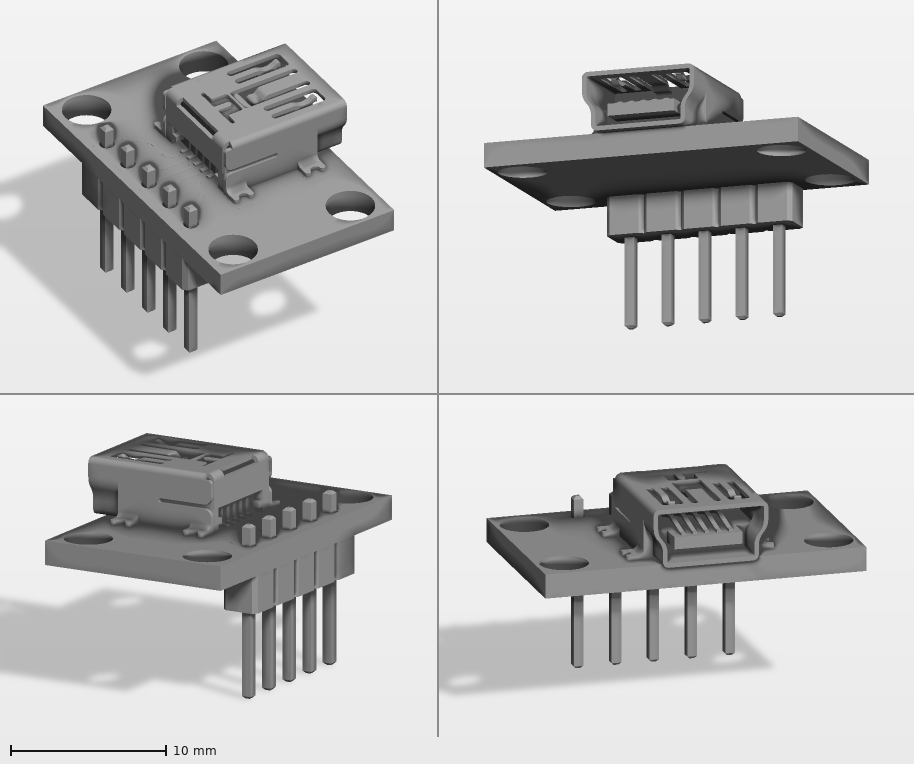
import cadquery as cq
import math


BOARD_LENGTH = 21.6
BOARD_DEPTH = 13.2
BOARD_THICKNESS = 1.62
MOUNT_HOLE_DIAMETER = 3.2
MOUNT_HOLE_SPACING_X = 17.8
MOUNT_HOLE_SPACING_Y = 8.92

PIN_COUNT = 5
PIN_PITCH = 2.55
PIN_WIDTH = 0.65
PIN_TOP_Z = 1.4
PIN_BOTTOM_Z = -10.17
PIN_CHAMFER = 0.17
HEADER_CHAMFER = 0.28
HEADER_CELL = PIN_PITCH
PIN_ROW_Y = 1.3
PIN_X = [(i - (PIN_COUNT - 1) / 2) * PIN_PITCH for i in range(PIN_COUNT)]

SOCKET_X = -0.1
SHELL_WIDTH = 7.7
SHELL_HEIGHT = 3.93
SHELL_THICKNESS = 0.3
SHELL_FRONT_Y = 4.81
SHELL_BACK_Y = 14.01
MOUTH_Y = 11.77
EDGE_RADIUS = 0.8 / 2
HALF_SHELL = SHELL_WIDTH / 2
HALF_INSIDE = HALF_SHELL - SHELL_THICKNESS
ROOF_UNDERSIDE_Z = SHELL_HEIGHT - SHELL_THICKNESS

MOUTH_NARROWING = 0.63
MOUTH_CURVE_TOP_Z = 2.65
MOUTH_CURVE_BOTTOM_Z = 1.04

FLAP_RADIUS = 0.5
FLAP_BOTTOM_Z = 1.55
FLAP_WINDOW_WIDTH = 4.32
HALF_FLAP = HALF_SHELL - EDGE_RADIUS
ROOF_FRONT_Y = SHELL_FRONT_Y + FLAP_RADIUS
WALL_CORNER_RADIUS = 0.24

SLIT_Z = 1.77
SLIT_HEIGHT = 0.3
SLIT_BACK_Y = 8.75
SLIT_FLARE_RADIUS = 0.52

FOOT_LENGTH = 1.51
FOOT_REACH = 1.12
FOOT_THICKNESS = SHELL_THICKNESS
FOOT_BEND_RADIUS = 0.37
FOOT_NOTCH_RADIUS = 0.35
FOOT_NOTCH_INSET = 0.13
FOOT_CORNER_RADIUS = 0.2
FOOT_FRONT_YS = [SHELL_FRONT_Y, MOUTH_Y - FOOT_LENGTH]

SIDE_OPENING_INNER_X = 1.5
SIDE_OPENING_OUTER_X = 2.95
SIDE_OPENING_FRONT_Y = 9.05
SIDE_OPENING_BACK_Y = 13.05
SIDE_SPRING_WIDTH = 0.45
SIDE_SPRING_ROOT_Y = 10.75
SIDE_SPRING_BENDS = [
    (0.43, 0, -0.45),
    (0.09, -0.45, -0.45),
    (0.95, -0.45, 0.58),
    (0.15, 0.58, 0.58),
    (0.25, 0.58, -0.7),
]
SIDE_SPRING_TIP_Y = SIDE_SPRING_ROOT_Y + sum(bend[0] for bend in SIDE_SPRING_BENDS)
SIDE_OPENING_X = (SIDE_OPENING_INNER_X + SIDE_OPENING_OUTER_X) / 2
SIDE_SLOT_WIDTH = (SIDE_OPENING_OUTER_X - SIDE_OPENING_INNER_X - SIDE_SPRING_WIDTH) / 2

CENTRE_OPENING_WIDTH = 2.0
CENTRE_OPENING_FRONT_Y = 8.07
CENTRE_OPENING_BACK_Y = 13.1
CENTRE_SPRING_WIDTH = 1.05
CENTRE_SPRING_ROOT_Y = 10.15
CENTRE_SPRING_BENDS = [
    (0.3, 0, -1.0),
    (0.1, -1.0, -1.0),
    (0.25, -1.0, 0.3),
    (0.09, 0.3, 0.3),
    (0.28, 0.3, -1.2),
]
CENTRE_SPRING_TIP_Y = CENTRE_SPRING_ROOT_Y - sum(bend[0] for bend in CENTRE_SPRING_BENDS)
CENTRE_CORNER_RADIUS = 0.2
CENTRE_SLOT_WIDTH = (CENTRE_OPENING_WIDTH - CENTRE_SPRING_WIDTH) / 2

CUTOUT_FRONT_Y = 6.45
CUTOUT_BACK_Y = 7.92
CUTOUT_ARM_SPAN = 3.85
CUTOUT_ARM_DEPTH = 0.3
CUTOUT_FINGER_WIDTH = 0.45
CUTOUT_FINGER_TIP_Y = 7.62
CUTOUT_CORNER_RADIUS = 0.15
CORNER_SEARCH = 0.02

TONGUE_TOP_Z = 1.84
TONGUE_THICKNESS = 0.8
TONGUE_WIDTH = 4.58
TONGUE_BACK_Y = 13.5
UPPER_BLOCK_BACK_Y = 8.72
INSULATOR_FRONT_Y = 5.48
POST_FRONT_Y = 4.88
POST_TOP_Z = 2.6
POST_WIDTH = 0.78
PEG_WIDTH = 0.43
PEG_BOTTOM_Z = 0.39
PEG_TOP_Z = 0.8

CONTACT_PITCH = 0.8
CONTACT_WIDTH = 0.3
CONTACT_THICKNESS = 0.15
CONTACT_LEG_TOP_Z = 1.95
CONTACT_BEND_RADIUS = 0.1
CONTACT_TAIL_Y = SHELL_FRONT_Y
CONTACT_SINK = 0.02
CONTACT_ROOT_TOP_Z = TONGUE_TOP_Z + CONTACT_THICKNESS - CONTACT_SINK
CONTACT_BENDS = [(1.55, 0.26, 0.26), (0.24, 0.26, -0.17), (2.3, -0.17, -0.17), (0.35, 0, 0)]
CONTACT_X = [SOCKET_X + (i - (PIN_COUNT - 1) / 2) * CONTACT_PITCH for i in range(PIN_COUNT)]

PAD_HEIGHT = 0.005
TRACE_HEIGHT = 0.009
PIN_PAD_SIZE = 1.7
PIN_HOLE_DIAMETER = 1.0
CONTACT_PAD_WIDTH = 0.5
CONTACT_PAD_FRONT_Y = 4.51
FOOT_PAD_MARGIN_FRONT = 0.06
FOOT_PAD_MARGIN_BACK = 0.1
FOOT_PAD_MARGIN_X = 0.52
TRACE_WIDTH = 0.25
CROSS_TRACE_Y = 3.82
CROSS_TRACE_BEND = 0.39
FIRST_TRACE_STUB_Y = 2.4


def block(x_min, x_max, y_min, y_max, z_min, z_max):
    """Box between the given limits."""
    return (
        cq.Workplane("XY")
        .box(x_max - x_min, y_max - y_min, z_max - z_min, centered=False)
        .translate((x_min, y_min, z_min))
    )


def centred_block(half_width, y_min, y_max, z_min, z_max):
    """Box centred on X = 0."""
    return block(-half_width, half_width, y_min, y_max, z_min, z_max)


def both_sides(shape):
    """The shape together with its mirror image across X = 0."""
    return shape.union(shape.mirror("YZ"))


def bend_piece(outline, is_straight, middle, end):
    """Continue the outline to the end, straight or as an arc through the middle."""
    if is_straight:
        return outline.lineTo(*end)
    return outline.threePointArc(middle, end)


def bent_strip(start, direction, bends, thickness, width):
    """Strip centred on X = 0 whose top leaves the (Y, Z) start along +Y or -Y and follows the bends."""
    ends = [start]
    middles = []
    for length, start_slope, end_slope in bends:
        y, z = ends[-1]
        rise = length * (start_slope + end_slope) / 2
        bulge = length * (start_slope - end_slope) / 8
        middles.append((y + direction * length / 2, z + rise / 2 + bulge))
        ends.append((y + direction * length, z + rise))
    straight = [start_slope == end_slope for _, start_slope, end_slope in bends]
    lower_ends = [(y, z - thickness) for y, z in ends]
    lower_middles = [(y, z - thickness) for y, z in middles]

    outline = cq.Workplane("YZ", origin=(-width / 2, 0, 0)).moveTo(*start)
    for i, is_straight in enumerate(straight):
        outline = bend_piece(outline, is_straight, middles[i], ends[i + 1])
    outline = outline.lineTo(*lower_ends[-1])
    for i, is_straight in reversed(list(enumerate(straight))):
        outline = bend_piece(outline, is_straight, lower_middles[i], lower_ends[i])
    return outline.close().extrude(width)




def trace_run(start, end):
    """Straight piece of trace with round ends."""
    length = math.dist(start, end)
    angle = math.degrees(math.atan2(end[1] - start[1], end[0] - start[0]))
    middle = ((start[0] + end[0]) / 2, (start[1] + end[1]) / 2)
    return (
        cq.Workplane("XY")
        .slot2D(length + TRACE_WIDTH, TRACE_WIDTH)
        .extrude(TRACE_HEIGHT)
        .rotate((0, 0, 0), (0, 0, 1), angle)
        .translate((middle[0], middle[1], 0))
    )


def trace_routes():
    """Corner points of the five traces, from contact tail to pin; slanted runs are at 45 degrees."""
    cross_start_y = CROSS_TRACE_Y + CROSS_TRACE_BEND
    first = [
        (CONTACT_X[0], CONTACT_TAIL_Y),
        (CONTACT_X[0], cross_start_y),
        (CONTACT_X[0] - CROSS_TRACE_BEND, CROSS_TRACE_Y),
        (PIN_X[0] + CROSS_TRACE_Y - FIRST_TRACE_STUB_Y, CROSS_TRACE_Y),
        (PIN_X[0], FIRST_TRACE_STUB_Y),
        (PIN_X[0], PIN_ROW_Y),
    ]
    middle = [
        [
            (CONTACT_X[i], CONTACT_TAIL_Y),
            (CONTACT_X[i], PIN_ROW_Y + abs(PIN_X[i] - CONTACT_X[i])),
            (PIN_X[i], PIN_ROW_Y),
        ]
        for i in range(1, PIN_COUNT - 1)
    ]
    last = [
        (CONTACT_X[-1], CONTACT_TAIL_Y),
        (CONTACT_X[-1], cross_start_y),
        (CONTACT_X[-1] + CROSS_TRACE_BEND, CROSS_TRACE_Y),
        (PIN_X[-1] - CROSS_TRACE_Y + PIN_ROW_Y, CROSS_TRACE_Y),
        (PIN_X[-1], PIN_ROW_Y),
    ]
    return [first, *middle, last]


def copper():
    """Pads and traces on top of the board."""
    pads = (
        cq.Workplane("XY")
        .center(PIN_X[0], PIN_ROW_Y)
        .rect(PIN_PAD_SIZE, PIN_PAD_SIZE)
        .extrude(PAD_HEIGHT)
    )
    round_pads = (
        cq.Workplane("XY")
        .pushPoints([(x, PIN_ROW_Y) for x in PIN_X[1:]])
        .circle(PIN_PAD_SIZE / 2)
        .extrude(PAD_HEIGHT)
    )
    pads = pads.union(round_pads)
    for x in CONTACT_X:
        half = CONTACT_PAD_WIDTH / 2
        pads = pads.union(block(x - half, x + half, CONTACT_PAD_FRONT_Y, INSULATOR_FRONT_Y, 0, PAD_HEIGHT))
    for y in FOOT_FRONT_YS:
        outer_x = HALF_SHELL + FOOT_REACH + FOOT_PAD_MARGIN_X
        front_y = y - FOOT_PAD_MARGIN_FRONT
        back_y = y + FOOT_LENGTH + FOOT_PAD_MARGIN_BACK
        foot_pad = block(-outer_x, -HALF_INSIDE, front_y, back_y, 0, PAD_HEIGHT)
        pads = pads.union(both_sides(foot_pad).translate((SOCKET_X, 0, 0)))
    for route in trace_routes():
        for start, end in zip(route, route[1:]):
            pads = pads.union(trace_run(start, end))
    return pads


def make_board():
    plate = centred_block(BOARD_LENGTH / 2, 0, BOARD_DEPTH, -BOARD_THICKNESS, 0)
    drilling_plane = cq.Workplane("XY").workplane(offset=-BOARD_THICKNESS)
    drill_depth = BOARD_THICKNESS + TRACE_HEIGHT
    mount_holes = (
        drilling_plane.center(0, BOARD_DEPTH / 2)
        .rect(MOUNT_HOLE_SPACING_X, MOUNT_HOLE_SPACING_Y, forConstruction=True)
        .vertices()
        .circle(MOUNT_HOLE_DIAMETER / 2)
        .extrude(drill_depth)
    )
    pin_holes = (
        drilling_plane.pushPoints([(x, PIN_ROW_Y) for x in PIN_X])
        .circle(PIN_HOLE_DIAMETER / 2)
        .extrude(drill_depth)
    )
    return plate.union(copper()).cut(mount_holes).cut(pin_holes)




def make_header():
    """Row of chamfered cells with one square pin through each."""
    header = cq.Workplane("XY")
    for x in PIN_X:
        cell = (
            cq.Workplane("XY")
            .box(HEADER_CELL, HEADER_CELL, HEADER_CELL, centered=(True, True, False))
            .edges("|Z")
            .chamfer(HEADER_CHAMFER)
            .translate((x, PIN_ROW_Y, -BOARD_THICKNESS - HEADER_CELL))
        )
        pin = (
            cq.Workplane("XY")
            .box(PIN_WIDTH, PIN_WIDTH, PIN_TOP_Z - PIN_BOTTOM_Z, centered=(True, True, False))
            .faces("<Z or >Z")
            .chamfer(PIN_CHAMFER)
            .translate((x, PIN_ROW_Y, PIN_BOTTOM_Z))
        )
        header = header.union(cell).union(pin)
    return header




def mouth_profile(inset):
    """Closed outline of the narrowed back of the shell, moved inwards by the inset."""
    wide = HALF_SHELL - inset
    narrow = wide - MOUTH_NARROWING
    top = SHELL_HEIGHT - inset
    radius = EDGE_RADIUS - inset
    curve_middle = ((wide + narrow) / 2, (MOUTH_CURVE_TOP_Z + MOUTH_CURVE_BOTTOM_Z) / 2)
    half_drop = (MOUTH_CURVE_TOP_Z - MOUTH_CURVE_BOTTOM_Z) / 2
    arc_radius = (half_drop**2 + (MOUTH_NARROWING / 2) ** 2) / MOUTH_NARROWING
    half_angle = math.asin(half_drop / arc_radius) / 2
    bulge_x = arc_radius * (1 - math.cos(half_angle))
    bulge_z = arc_radius * math.sin(half_angle)
    outline = (
        cq.Workplane("XZ", origin=(0, SHELL_BACK_Y, 0))
        .moveTo(0, top)
        .lineTo(wide - radius, top)
        .radiusArc((wide, top - radius), radius)
        .lineTo(wide, MOUTH_CURVE_TOP_Z)
        .threePointArc((wide - bulge_x, MOUTH_CURVE_TOP_Z - bulge_z), curve_middle)
        .threePointArc((narrow + bulge_x, MOUTH_CURVE_BOTTOM_Z + bulge_z), (narrow, MOUTH_CURVE_BOTTOM_Z))
        .lineTo(narrow, inset + radius)
        .radiusArc((narrow - radius, inset), radius)
        .lineTo(0, inset)
        .close()
    )
    return both_sides(outline.extrude(SHELL_BACK_Y - MOUTH_Y))


def shell_mouth():
    return mouth_profile(0).cut(mouth_profile(SHELL_THICKNESS))


def shell_arch():
    """Roof and side walls; the roof stops where the front flap bends down."""
    arch = (
        centred_block(HALF_SHELL, ROOF_FRONT_Y, MOUTH_Y, 0, SHELL_HEIGHT)
        .edges("|Y and >Z")
        .fillet(EDGE_RADIUS)
    )
    cavity = (
        centred_block(HALF_INSIDE, ROOF_FRONT_Y, MOUTH_Y, 0, ROOF_UNDERSIDE_Z)
        .edges("|Y and >Z")
        .fillet(EDGE_RADIUS - SHELL_THICKNESS)
    )
    wall_end = (
        block(HALF_INSIDE, HALF_SHELL, SHELL_FRONT_Y, ROOF_FRONT_Y, 0, SHELL_HEIGHT - EDGE_RADIUS)
        .edges("|X and >Z and <Y")
        .fillet(WALL_CORNER_RADIUS)
    )
    return arch.cut(cavity).union(both_sides(wall_end))


def front_flap():
    """Plate that continues the roof down the front, with a window through its bend."""
    bend_z = SHELL_HEIGHT - FLAP_RADIUS
    inner_radius = FLAP_RADIUS - SHELL_THICKNESS
    inner_y = SHELL_FRONT_Y + SHELL_THICKNESS
    flap = (
        cq.Workplane("YZ", origin=(-HALF_FLAP, 0, 0))
        .moveTo(ROOF_FRONT_Y, SHELL_HEIGHT)
        .radiusArc((SHELL_FRONT_Y, bend_z), -FLAP_RADIUS)
        .lineTo(SHELL_FRONT_Y, FLAP_BOTTOM_Z)
        .lineTo(inner_y, FLAP_BOTTOM_Z)
        .lineTo(inner_y, bend_z)
        .radiusArc((ROOF_FRONT_Y, ROOF_UNDERSIDE_Z), inner_radius)
        .close()
        .extrude(2 * HALF_FLAP)
    )
    window = centred_block(FLAP_WINDOW_WIDTH / 2, SHELL_FRONT_Y, ROOF_FRONT_Y, bend_z, SHELL_HEIGHT)
    return flap.cut(window)


def wall_slit():
    """Slit through both side walls, round at its back and flared at the front."""
    half = SLIT_HEIGHT / 2
    flare_y = SHELL_FRONT_Y + SLIT_FLARE_RADIUS
    flare_half = half + SLIT_FLARE_RADIUS
    slit = (
        cq.Workplane("YZ", origin=(HALF_INSIDE, 0, 0))
        .moveTo(SHELL_FRONT_Y, SLIT_Z + flare_half)
        .radiusArc((flare_y, SLIT_Z + half), -SLIT_FLARE_RADIUS)
        .lineTo(SLIT_BACK_Y - half, SLIT_Z + half)
        .threePointArc((SLIT_BACK_Y, SLIT_Z), (SLIT_BACK_Y - half, SLIT_Z - half))
        .lineTo(flare_y, SLIT_Z - half)
        .radiusArc((SHELL_FRONT_Y, SLIT_Z - flare_half), -SLIT_FLARE_RADIUS)
        .close()
        .extrude(SHELL_THICKNESS)
    )
    return both_sides(slit)


def solder_foot(front_y):
    """Foot on the left wall: a notched plate with a round bend up to the wall."""
    outer_x = -HALF_SHELL - FOOT_REACH
    back_y = front_y + FOOT_LENGTH
    notch = (
        cq.Workplane("XY")
        .center(outer_x + FOOT_NOTCH_INSET, (front_y + back_y) / 2)
        .circle(FOOT_NOTCH_RADIUS)
        .extrude(FOOT_THICKNESS)
    )
    plate = (
        block(outer_x, -HALF_SHELL, front_y, back_y, 0, FOOT_THICKNESS)
        .cut(notch)
        .edges("|Z and <X")
        .fillet(FOOT_CORNER_RADIUS)
    )
    bend = (
        cq.Workplane("XZ", origin=(0, back_y, 0))
        .moveTo(-HALF_SHELL, FOOT_THICKNESS)
        .lineTo(-HALF_SHELL - FOOT_BEND_RADIUS, FOOT_THICKNESS)
        .radiusArc((-HALF_SHELL, FOOT_THICKNESS + FOOT_BEND_RADIUS), -FOOT_BEND_RADIUS)
        .close()
        .extrude(FOOT_LENGTH)
    )
    return plate.union(bend)


def roof_slot(centre_x, width, y_min, y_max):
    """Round-ended slot through the roof, running along Y."""
    return (
        cq.Workplane("XY", origin=(centre_x, (y_min + y_max) / 2, ROOF_UNDERSIDE_Z))
        .slot2D(y_max - y_min, width, 90)
        .extrude(SHELL_THICKNESS)
    )


def side_opening():
    """U-shaped opening around one side spring."""
    half_width = (SIDE_OPENING_OUTER_X - SIDE_OPENING_INNER_X) / 2
    end_gap = centred_block(
        half_width, SIDE_SPRING_TIP_Y, SIDE_OPENING_BACK_Y, ROOF_UNDERSIDE_Z, SHELL_HEIGHT
    )
    opening = end_gap.edges("|Z and >Y").fillet(SIDE_SLOT_WIDTH / 2)
    for side in (-1, 1):
        slot_x = side * (half_width - SIDE_SLOT_WIDTH / 2)
        slot = roof_slot(slot_x, SIDE_SLOT_WIDTH, SIDE_OPENING_FRONT_Y, SIDE_OPENING_BACK_Y)
        opening = opening.union(slot)
    bent_part = centred_block(
        half_width - SIDE_SLOT_WIDTH, SIDE_SPRING_ROOT_Y, SIDE_SPRING_TIP_Y, ROOF_UNDERSIDE_Z, SHELL_HEIGHT
    )
    return opening.union(bent_part).translate((SIDE_OPENING_X, 0, 0))


def centre_opening():
    """U-shaped opening around the centre spring."""
    half_width = CENTRE_OPENING_WIDTH / 2
    opening = (
        centred_block(
            half_width, CENTRE_OPENING_FRONT_Y, CENTRE_SPRING_TIP_Y, ROOF_UNDERSIDE_Z, SHELL_HEIGHT
        )
        .edges("|Z and <Y")
        .fillet(CENTRE_CORNER_RADIUS)
    )
    slot_x = half_width - CENTRE_SLOT_WIDTH / 2
    slot_front_y = CENTRE_OPENING_FRONT_Y + CENTRE_CORNER_RADIUS
    slot = roof_slot(slot_x, CENTRE_SLOT_WIDTH, slot_front_y, CENTRE_OPENING_BACK_Y)
    bent_part = centred_block(
        CENTRE_SPRING_WIDTH / 2, CENTRE_SPRING_TIP_Y, CENTRE_SPRING_ROOT_Y, ROOF_UNDERSIDE_Z, SHELL_HEIGHT
    )
    return opening.union(both_sides(slot)).union(bent_part)


def roof_cutout():
    """Cutout with two arms, in front of the centre opening, around a short finger."""
    half_width = CENTRE_OPENING_WIDTH / 2
    body = (
        centred_block(half_width, CUTOUT_FRONT_Y, CUTOUT_BACK_Y, ROOF_UNDERSIDE_Z, SHELL_HEIGHT)
        .edges("|Z and >Y")
        .fillet(CENTRE_CORNER_RADIUS)
    )
    arms = (
        cq.Workplane("XY", origin=(0, CUTOUT_FRONT_Y + CUTOUT_ARM_DEPTH / 2, ROOF_UNDERSIDE_Z))
        .slot2D(CUTOUT_ARM_SPAN, CUTOUT_ARM_DEPTH)
        .extrude(SHELL_THICKNESS)
    )
    finger_radius = CUTOUT_FINGER_WIDTH / 2
    finger = roof_slot(0, CUTOUT_FINGER_WIDTH, CUTOUT_FRONT_Y - finger_radius, CUTOUT_FINGER_TIP_Y)
    cutout = body.union(arms).cut(finger)
    arm_corners = cq.Workplane("XY")
    corners = [(half_width, CUTOUT_FRONT_Y + CUTOUT_ARM_DEPTH), (finger_radius, CUTOUT_FRONT_Y)]
    for corner_x, corner_y in corners:
        for x in (-corner_x, corner_x):
            low = (x - CORNER_SEARCH, corner_y - CORNER_SEARCH, ROOF_UNDERSIDE_Z - CORNER_SEARCH)
            high = (x + CORNER_SEARCH, corner_y + CORNER_SEARCH, SHELL_HEIGHT + CORNER_SEARCH)
            arm_corners = arm_corners.add(cutout.edges("|Z").edges(cq.selectors.BoxSelector(low, high)))
    return cutout.newObject(arm_corners.vals()).fillet(CUTOUT_CORNER_RADIUS)


def side_spring():
    """Spring that dips below the roof and has a crest just above it near its tip."""
    root = (SIDE_SPRING_ROOT_Y, SHELL_HEIGHT)
    strip = bent_strip(root, 1, SIDE_SPRING_BENDS, SHELL_THICKNESS, SIDE_SPRING_WIDTH)
    return strip.translate((SIDE_OPENING_X, 0, 0))


def centre_spring():
    """Spring that drops into the socket and ends in a small hump."""
    root = (CENTRE_SPRING_ROOT_Y, SHELL_HEIGHT)
    return bent_strip(root, -1, CENTRE_SPRING_BENDS, SHELL_THICKNESS, CENTRE_SPRING_WIDTH)


def make_shell():
    shell = shell_arch().union(shell_mouth()).union(front_flap()).cut(wall_slit())
    for front_y in FOOT_FRONT_YS:
        shell = shell.union(both_sides(solder_foot(front_y)))
    shell = shell.cut(both_sides(side_opening())).cut(centre_opening()).cut(roof_cutout())
    return shell.union(both_sides(side_spring())).union(centre_spring())


def insulator():
    """Plastic inside the shell: base, upper block, tongue and two front posts with inward pegs."""
    base = centred_block(HALF_INSIDE, INSULATOR_FRONT_Y, MOUTH_Y, 0, TONGUE_TOP_Z)
    upper_block = centred_block(
        HALF_INSIDE, INSULATOR_FRONT_Y, UPPER_BLOCK_BACK_Y, TONGUE_TOP_Z, ROOF_UNDERSIDE_Z
    )
    upper_block = upper_block.edges("|Y and >Z").fillet(EDGE_RADIUS - SHELL_THICKNESS)
    tongue = centred_block(
        TONGUE_WIDTH / 2, MOUTH_Y, TONGUE_BACK_Y, TONGUE_TOP_Z - TONGUE_THICKNESS, TONGUE_TOP_Z
    )
    post_x = HALF_INSIDE - POST_WIDTH
    post = block(post_x, HALF_INSIDE, POST_FRONT_Y, INSULATOR_FRONT_Y, 0, POST_TOP_Z)
    peg = block(post_x - PEG_WIDTH, post_x, POST_FRONT_Y, INSULATOR_FRONT_Y, PEG_BOTTOM_Z, PEG_TOP_Z)
    return base.union(upper_block).union(tongue).union(both_sides(post.union(peg)))


def contact_tail():
    """Leg on the front of the insulator that bends forward to lie on its pad."""
    leg_y = INSULATOR_FRONT_Y - CONTACT_THICKNESS
    return (
        cq.Workplane("YZ", origin=(-CONTACT_WIDTH / 2, 0, 0))
        .moveTo(INSULATOR_FRONT_Y, 0)
        .lineTo(INSULATOR_FRONT_Y, CONTACT_LEG_TOP_Z)
        .lineTo(leg_y, CONTACT_LEG_TOP_Z)
        .lineTo(leg_y, CONTACT_THICKNESS + CONTACT_BEND_RADIUS)
        .radiusArc((leg_y - CONTACT_BEND_RADIUS, CONTACT_THICKNESS), CONTACT_BEND_RADIUS)
        .lineTo(CONTACT_TAIL_Y, CONTACT_THICKNESS)
        .lineTo(CONTACT_TAIL_Y, 0)
        .close()
        .extrude(CONTACT_WIDTH)
    )


def contact_blade():
    """Strip that rises from the upper block to a crest and slopes down to lie in the tongue's top."""
    start = (UPPER_BLOCK_BACK_Y, CONTACT_ROOT_TOP_Z)
    return bent_strip(start, 1, CONTACT_BENDS, CONTACT_THICKNESS, CONTACT_WIDTH)


def make_socket():
    """Shell, insulator and contacts as one body, seated on the board's copper."""
    socket = make_shell().union(insulator()).translate((SOCKET_X, 0, 0))
    contact = contact_tail().union(contact_blade())
    for x in CONTACT_X:
        socket = socket.union(contact.translate((x, 0, 0)))
    return socket.cut(copper())


board = make_board()
header = make_header()
socket = make_socket()
result = cq.Compound.makeCompound([body.solids().val() for body in (board, header, socket)])